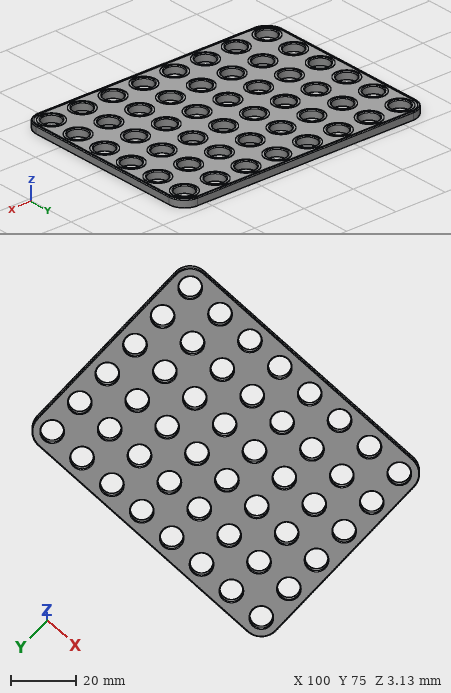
import cadquery as cq

hole_pitch = 12.5
columns = 8
rows = 6
hole_diameter = 7.0

length = columns * hole_pitch
width = rows * hole_pitch
thickness = hole_pitch / 4
corner_radius = hole_pitch / 2
rim_chamfer = 0.3

outline_lip_width = 0.8
hole_lip_diameter = 9.2
recess_depth = 0.2


def rounded_slab(inset, height):
    """Slab whose round-cornered outline lies inside the plate outline by the inset."""
    slab = cq.Workplane("XY").rect(length - 2 * inset, width - 2 * inset).extrude(height)
    return slab.edges("|Z").fillet(corner_radius - inset)


def cylinder_grid(diameter, height):
    """One upright cylinder at every hole centre."""
    centres = cq.Workplane("XY").rarray(hole_pitch, hole_pitch, columns, rows)
    return centres.circle(diameter / 2).extrude(height)


def make_plate():
    """Perforated plate, chamfered along its outline and hole rims on both faces."""
    plate = rounded_slab(0, thickness).cut(cylinder_grid(hole_diameter, thickness))
    return plate.faces("<Z or >Z").edges().chamfer(rim_chamfer)


def make_recess():
    """Shallow pocket volume that spares the outline lip and a lip around each hole."""
    pocket = rounded_slab(outline_lip_width, recess_depth)
    recess = pocket.cut(cylinder_grid(hole_lip_diameter, recess_depth))
    return recess.translate((0, 0, thickness - recess_depth))


result = make_plate().cut(make_recess())